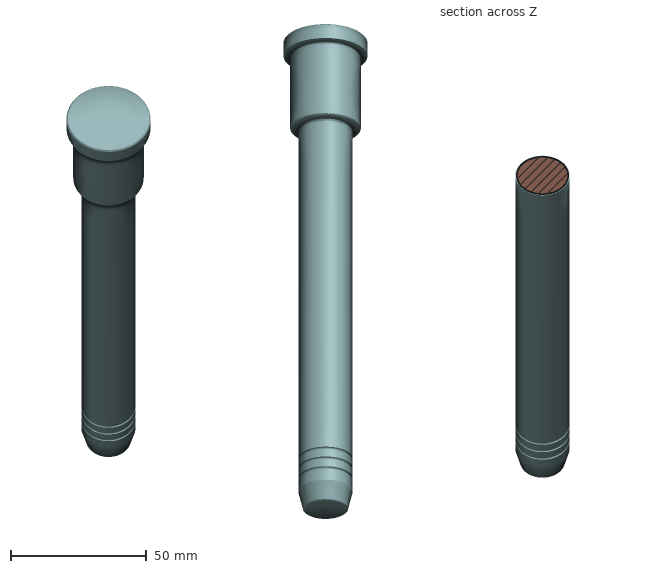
import cadquery as cq

LENGTH = 191.0

HEAD_DIAMETER = 31.0
HEAD_HEIGHT = 6.0
HEAD_CHAMFER = 0.5

SHOULDER_DIAMETER = 26.0
SHOULDER_DEPTH = 36.0
SHOULDER_CHAMFER = 0.5
HEAD_RELIEF_RADIUS = 0.5

SHAFT_DIAMETER = 20.0
SHAFT_RELIEF_DIAMETER = 19.1
SHAFT_RELIEF_HEIGHT = 1.1

TIP_DIAMETER = 16.5
TIP_HEIGHT = 7.5
TIP_CHAMFER = 0.4

GROOVE_COUNT = 3
GROOVE_PITCH = 4.0
GROOVE_RADIUS = 0.5
LOWEST_GROOVE_CENTER = 12.5

HEAD_BOTTOM = LENGTH - HEAD_HEIGHT
SHOULDER_BOTTOM = LENGTH - SHOULDER_DEPTH
SHAFT_TOP = SHOULDER_BOTTOM - SHAFT_RELIEF_HEIGHT


def cylinder(diameter, bottom, top):
    """Cylinder on the Z axis between two heights."""
    return cq.Workplane("XY").workplane(offset=bottom).circle(diameter / 2).extrude(top - bottom)


def round_groove(diameter, center_height, radius):
    """Torus to remove, centered on the surface of a cylinder of the given diameter."""
    return cq.Workplane(cq.Solid.makeTorus(diameter / 2, radius, cq.Vector(0, 0, center_height)))


def tapered_tip():
    tip = (
        cq.Workplane("XY")
        .circle(TIP_DIAMETER / 2)
        .workplane(offset=TIP_HEIGHT)
        .circle(SHAFT_DIAMETER / 2)
        .loft(ruled=True)
    )
    return tip.faces("<Z").edges().chamfer(TIP_CHAMFER)


head = cylinder(HEAD_DIAMETER, HEAD_BOTTOM, LENGTH).faces(">Z").edges().chamfer(HEAD_CHAMFER)
shoulder = cylinder(SHOULDER_DIAMETER, SHOULDER_BOTTOM, HEAD_BOTTOM)
shoulder = shoulder.faces("<Z").edges().chamfer(SHOULDER_CHAMFER)

shaft = cylinder(SHAFT_DIAMETER, TIP_HEIGHT, SHAFT_TOP)
neck = cylinder(SHAFT_RELIEF_DIAMETER, SHAFT_TOP, SHOULDER_BOTTOM)

pin = head.union(shoulder).union(neck).union(shaft).union(tapered_tip())

pin = pin.cut(round_groove(SHOULDER_DIAMETER, HEAD_BOTTOM - HEAD_RELIEF_RADIUS, HEAD_RELIEF_RADIUS))

for index in range(GROOVE_COUNT):
    groove_center = LOWEST_GROOVE_CENTER + index * GROOVE_PITCH
    pin = pin.cut(round_groove(SHAFT_DIAMETER, groove_center, GROOVE_RADIUS))

result = pin